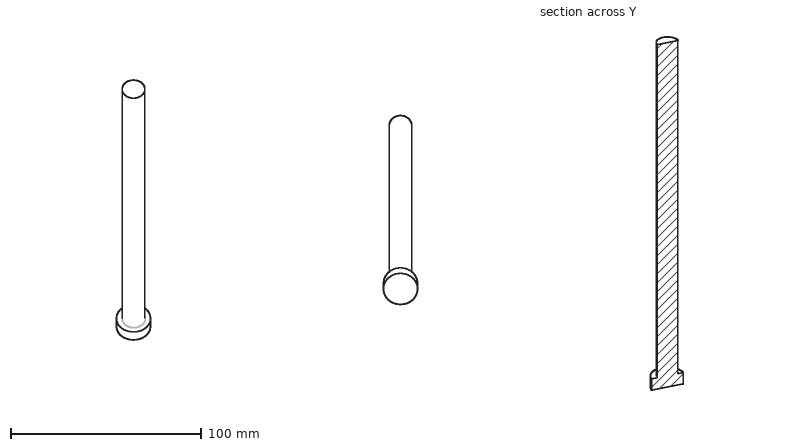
import cadquery as cq

total_length = 207.0
head_diameter = 18.0
head_height = 7.0
shank_diameter = 12.0
neck_fillet_radius = 0.31

head_radius = head_diameter / 2
shank_radius = shank_diameter / 2
neck_top = head_height + neck_fillet_radius
neck_base_radius = shank_radius + neck_fillet_radius

half_profile = (
    cq.Workplane("XZ")
    .lineTo(head_radius, 0)
    .lineTo(head_radius, head_height)
    .lineTo(neck_base_radius, head_height)
    .radiusArc((shank_radius, neck_top), neck_fillet_radius)
    .lineTo(shank_radius, total_length)
    .lineTo(0, total_length)
    .close()
)

result = half_profile.revolve(360, (0, 0, 0), (0, 1, 0))